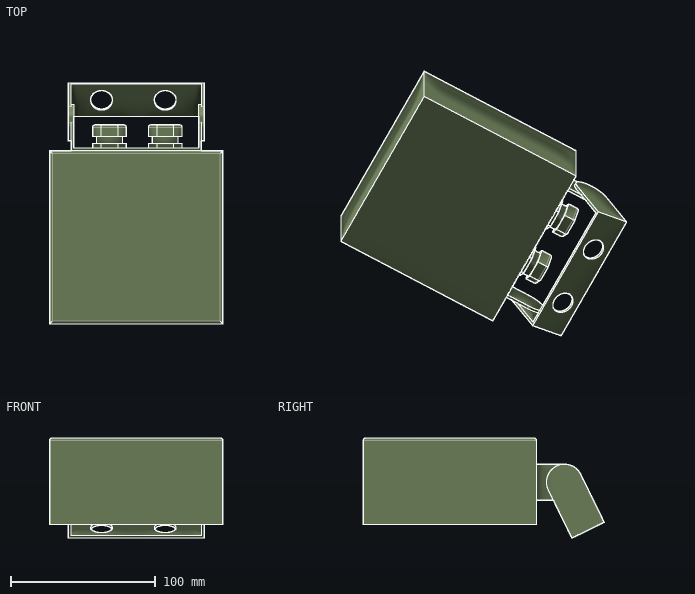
import cadquery as cq

housing_side = 120.0
housing_height = 60.1
housing_edge_radius = 2.0
back_y = housing_side / 2

sheet = 2.0
arm_width = 25.0
arm_radius = arm_width / 2
fixed_bracket_width = 90.3
swivel_bracket_width = fixed_bracket_width + 2 * sheet
pivot_y = back_y + 19.4
pivot_z = 29.4
swivel_length = 37.0
swivel_angle = 26.1

mount_hole_diameter = 15.0
mount_hole_xs = (-24.0, 20.0)

gland_xs = (-18.5, 20.0)
hex_corner_diameter = 23.4
neck_diameter = 18.0
nut_length = 3.0
neck_length = 4.7
cap_length = 8.3
cap_edge_radius = 1.8


def make_housing():
    block = cq.Workplane("XY").box(
        housing_side, housing_side, housing_height, centered=(True, True, False)
    )
    return block.faces(">Z").edges().fillet(housing_edge_radius)


def make_u_bracket(width, length):
    """U bracket hanging down from a pivot at the origin, with round arm ends."""
    bracket = (
        cq.Workplane("YZ")
        .moveTo(-arm_radius, -length)
        .lineTo(-arm_radius, 0)
        .threePointArc((0, arm_radius), (arm_radius, 0))
        .lineTo(arm_radius, -length)
        .close()
        .extrude(width / 2, both=True)
    )
    gap_height = length - sheet + arm_radius
    gap = (
        cq.Workplane("XY")
        .workplane(offset=sheet - length)
        .rect(width - 2 * sheet, 2 * arm_width)
        .extrude(gap_height)
    )
    return bracket.cut(gap)


def place_bracket(bracket, angle):
    """Tilt a bracket about the X axis, then move it to the pivot."""
    return bracket.rotate((0, 0, 0), (1, 0, 0), angle).translate((0, pivot_y, pivot_z))


def make_swivel_bracket():
    bracket = make_u_bracket(swivel_bracket_width, swivel_length)
    holes = (
        cq.Workplane("XY")
        .workplane(offset=-swivel_length)
        .pushPoints([(x, 0) for x in mount_hole_xs])
        .circle(mount_hole_diameter / 2)
        .extrude(sheet)
    )
    return place_bracket(bracket.cut(holes), swivel_angle)


def make_fixed_bracket():
    bracket = make_u_bracket(fixed_bracket_width, pivot_y - back_y)
    return place_bracket(bracket, -90)


def make_gland(x):
    """Hexagonal nut, round neck and hexagonal cap, stacked along +Y."""
    nut = cq.Workplane("XY").polygon(6, hex_corner_diameter).extrude(nut_length)
    neck = nut.faces(">Z").workplane().circle(neck_diameter / 2).extrude(neck_length)
    cap = (
        cq.Workplane("XY")
        .workplane(offset=nut_length + neck_length)
        .polygon(6, hex_corner_diameter)
        .extrude(cap_length)
        .faces(">Z")
        .edges()
        .fillet(cap_edge_radius)
    )
    gland = neck.union(cap).rotate((0, 0, 0), (1, 0, 0), -90)
    return gland.translate((x, back_y + sheet, pivot_z))


result = make_housing().union(make_fixed_bracket()).union(make_swivel_bracket())
for gland_x in gland_xs:
    result = result.union(make_gland(gland_x))